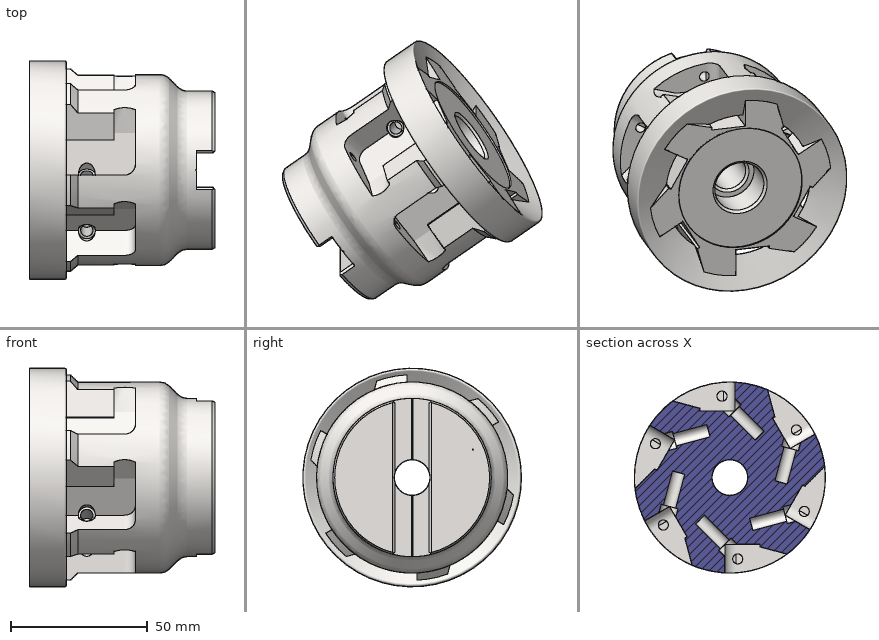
import cadquery as cq
import math

LENGTH = 68.0
RING_RADIUS = 40.0
RING_WIDTH = 13.6

THROAT_RADIUS = 27.6
THROAT_X = 5.4
FRONT_RIM_ROUNDING = 0.4
BACK_RIM_ROUNDING = 0.7

FACE_X = 2.2
TOOTH_RADIUS = 37.6
TOOTH_SHOULDER_X = 15.0
BODY_START_X = 17.8
BODY_RADIUS = 35.0
NECK_RADIUS = 29.0
CONE_START_X = 49.8
CONE_FILLET = 4.8
END_CHAMFER_LENGTH = 1.1
END_CHAMFER_DEPTH = 0.6

RECESS_RADIUS = 23.5
RECESS_DEPTH = 0.6
COUNTERBORE_RADIUS = 9.4
COUNTERBORE_DEPTH = 13.6
COUNTERBORE_CHAMFER = 1.0
BORE_RADIUS = 6.5
BORE_CHAMFER = 1.0

POCKET_COUNT = 6
FLOOR_HEIGHT = 24.4
RAKE_Y = -1.8
POCKET_END_X = 38.8
POCKET_CORNER_RADIUS = 4.1
RELIEF_END_X = 31.0
RELIEF_Y = 11.0
RELIEF_STEP = 1.0
RELIEF_ANGLE = 15.0
CLEAR_Y = 27.2
CLEAR_HEIGHT = 41.6

RAMP_Y = 13.5
RAMP_MIDDLE_SLOPE = 0.22
RAMP_EDGE_SLOPE = 0.31

SCREW_X = 21.0
SPOTFACE_RADIUS = 3.1
SCREW_RADIUS = 2.2
SCREW_DEPTH = 12.8
COOLANT_RADIUS = 1.8
COOLANT_Y = 2.9
COOLANT_HEIGHT = 29.8
COOLANT_DEPTH = 9.6

SLOT_WIDTH = 12.5
SLOT_FLOOR_X = 61.2
SLOT_CHAMFER = 0.9


def turned(profile):
    """Revolve an (x, radius) profile about the X axis."""
    return profile.revolve(360, (0, 0, 0), (1, 0, 0))


def rim_tangent_point(rim_x, rim_radius, rounding, turn):
    """Point where a line from the throat touches a rim rounding centred at (rim_x, rim_radius)."""
    run = rim_x - THROAT_X
    rise = rim_radius - THROAT_RADIUS
    distance = math.hypot(run, rise)
    tangent_length = math.sqrt(distance**2 - rounding**2)
    angle = math.atan2(rise, run) + turn * math.asin(rounding / distance)
    return (
        THROAT_X + tangent_length * math.cos(angle),
        THROAT_RADIUS + tangent_length * math.sin(angle),
    )


def make_ring():
    """Band with rounded rims, each rim tangent to the cone that runs down to the throat."""
    front_x = FRONT_RIM_ROUNDING
    front_radius = RING_RADIUS - FRONT_RIM_ROUNDING
    back_x = RING_WIDTH - BACK_RIM_ROUNDING
    back_radius = RING_RADIUS - BACK_RIM_ROUNDING
    front_tangent = rim_tangent_point(front_x, front_radius, FRONT_RIM_ROUNDING, 1)
    back_tangent = rim_tangent_point(back_x, back_radius, BACK_RIM_ROUNDING, -1)
    profile = (
        cq.Workplane("XY")
        .moveTo(THROAT_X, THROAT_RADIUS)
        .lineTo(*front_tangent)
        .threePointArc((0, front_radius), (front_x, RING_RADIUS))
        .lineTo(back_x, RING_RADIUS)
        .threePointArc((RING_WIDTH, back_radius), back_tangent)
        .close()
    )
    return turned(profile)


def make_body():
    cone_end_x = CONE_START_X + BODY_RADIUS - NECK_RADIUS
    body = turned(cq.Workplane("XY").polyline([
        (FACE_X, 0),
        (FACE_X, TOOTH_RADIUS),
        (TOOTH_SHOULDER_X, TOOTH_RADIUS),
        (BODY_START_X, BODY_RADIUS),
        (CONE_START_X, BODY_RADIUS),
        (cone_end_x, NECK_RADIUS),
        (LENGTH - END_CHAMFER_LENGTH, NECK_RADIUS),
        (LENGTH, NECK_RADIUS - END_CHAMFER_DEPTH),
        (LENGTH, 0),
    ]).close())
    margin = 0.4
    cone_edges = cq.selectors.BoxSelector(
        (CONE_START_X - margin, -RING_RADIUS, -RING_RADIUS),
        (cone_end_x + margin, RING_RADIUS, RING_RADIUS),
        boundingbox=True,
    )
    return body.edges(cone_edges).edges("%CIRCLE").fillet(CONE_FILLET)


def make_bore():
    recess_x = FACE_X + RECESS_DEPTH
    step_x = recess_x + COUNTERBORE_DEPTH
    return turned(cq.Workplane("XY").polyline([
        (0, 0),
        (0, RECESS_RADIUS),
        (recess_x, RECESS_RADIUS),
        (recess_x, COUNTERBORE_RADIUS + COUNTERBORE_CHAMFER),
        (recess_x + COUNTERBORE_CHAMFER, COUNTERBORE_RADIUS),
        (step_x, COUNTERBORE_RADIUS),
        (step_x, BORE_RADIUS + BORE_CHAMFER),
        (step_x + BORE_CHAMFER, BORE_RADIUS),
        (LENGTH, BORE_RADIUS),
        (LENGTH, 0),
    ]).close())


def make_chip_space():
    """Space between the rake face and the relief, above the pocket floor."""
    relief_start = FLOOR_HEIGHT + RELIEF_STEP
    relief_rise = (CLEAR_Y - RELIEF_Y) * math.tan(math.radians(RELIEF_ANGLE))
    tooth_gap = (
        cq.Workplane("YZ")
        .polyline([
            (RAKE_Y, FLOOR_HEIGHT),
            (RELIEF_Y, FLOOR_HEIGHT),
            (RELIEF_Y, relief_start),
            (CLEAR_Y, relief_start + relief_rise),
            (CLEAR_Y, CLEAR_HEIGHT),
            (RAKE_Y, CLEAR_HEIGHT),
        ])
        .close()
        .extrude(RELIEF_END_X)
    )
    pocket_end = (
        cq.Workplane("XY", origin=(0, 0, FLOOR_HEIGHT))
        .moveTo(0, RAKE_Y)
        .lineTo(POCKET_END_X - POCKET_CORNER_RADIUS, RAKE_Y)
        .radiusArc((POCKET_END_X, RAKE_Y + POCKET_CORNER_RADIUS), -POCKET_CORNER_RADIUS)
        .lineTo(POCKET_END_X, RAMP_Y)
        .lineTo(RELIEF_END_X, RAMP_Y)
        .lineTo(RELIEF_END_X, RELIEF_Y)
        .lineTo(0, RELIEF_Y)
        .close()
        .extrude(CLEAR_HEIGHT - FLOOR_HEIGHT)
    )
    return tooth_gap.union(pocket_end).union(make_ramp_space())


def make_ramp_space():
    """Space above the ramp, straight across at the floor and hollow farther out."""
    middle_x = (RELIEF_END_X + POCKET_END_X) / 2
    run = CLEAR_Y - RAMP_Y
    middle_height = FLOOR_HEIGHT + run * RAMP_MIDDLE_SLOPE
    edge_height = FLOOR_HEIGHT + run * RAMP_EDGE_SLOPE
    return (
        cq.Workplane("XZ", origin=(0, RAMP_Y, 0))
        .moveTo(RELIEF_END_X, FLOOR_HEIGHT)
        .lineTo(POCKET_END_X, FLOOR_HEIGHT)
        .lineTo(POCKET_END_X, CLEAR_HEIGHT)
        .lineTo(RELIEF_END_X, CLEAR_HEIGHT)
        .close()
        .workplane(offset=-run)
        .moveTo(RELIEF_END_X, edge_height)
        .threePointArc((middle_x, middle_height), (POCKET_END_X, edge_height))
        .lineTo(POCKET_END_X, CLEAR_HEIGHT)
        .lineTo(RELIEF_END_X, CLEAR_HEIGHT)
        .close()
        .loft(ruled=True)
    )


def make_pocket_holes():
    """Screw hole into the floor corner, halfway between floor and rake face, and coolant hole."""
    corner = cq.Plane(origin=(SCREW_X, RAKE_Y, FLOOR_HEIGHT), xDir=(1, 0, 0), normal=(0, 1, 1))
    spotface_height = 2 * SPOTFACE_RADIUS
    spotface = cq.Workplane(corner).circle(SPOTFACE_RADIUS).extrude(spotface_height)
    screw = cq.Workplane(corner).circle(SCREW_RADIUS).extrude(-SCREW_DEPTH)
    coolant = (
        cq.Workplane("YZ", origin=(POCKET_END_X, COOLANT_Y, COOLANT_HEIGHT))
        .circle(COOLANT_RADIUS)
        .extrude(COOLANT_DEPTH)
    )
    return spotface.union(screw).union(coolant)


def make_slot():
    """Drive slot with chamfers along its outer edges on the neck and at the end."""
    half = SLOT_WIDTH / 2
    slot_length = LENGTH - SLOT_FLOOR_X
    slot = cq.Workplane("XY").box(
        slot_length, SLOT_WIDTH, 2 * NECK_RADIUS, centered=(False, True, True)
    ).translate((SLOT_FLOOR_X, 0, 0))
    wide = half + SLOT_CHAMFER
    end_bevel = (
        cq.Workplane("XY")
        .polyline([(LENGTH - wide, 0), (LENGTH, -wide), (LENGTH, wide)])
        .close()
        .extrude(NECK_RADIUS, both=True)
    )
    slot = slot.union(end_bevel)
    wall_top = math.sqrt(NECK_RADIUS**2 - wide**2)
    for side in (1, -1):
        edge_bevel = (
            cq.Workplane("YZ", origin=(SLOT_FLOOR_X, 0, 0))
            .polyline([
                (0, side * (wall_top - wide)),
                (wide, side * wall_top),
                (wide, side * NECK_RADIUS),
                (-wide, side * NECK_RADIUS),
                (-wide, side * wall_top),
            ])
            .close()
            .extrude(slot_length)
        )
        slot = slot.union(edge_bevel)
    return slot


pocket = make_chip_space().union(make_pocket_holes())
body = make_body()
for index in range(POCKET_COUNT):
    angle = index * 360 / POCKET_COUNT
    body = body.cut(pocket.rotate((0, 0, 0), (1, 0, 0), angle))

result = body.union(make_ring()).cut(make_bore()).cut(make_slot())